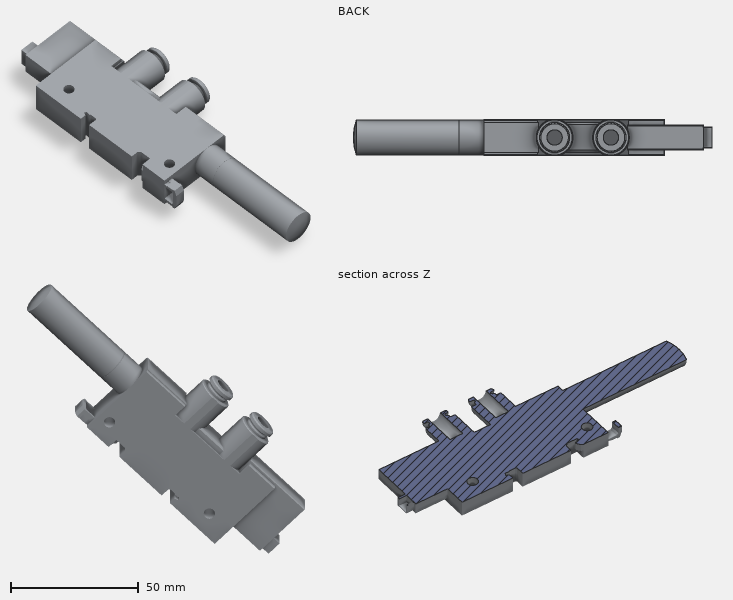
import cadquery as cq
import math


body_length = 70.7
body_depth = 33.6
body_thickness = 14.0
back_chamfer = 0.4
core_start = 49.3
core_depth = 34.0
core_thickness = 11.6

joining_overlap = 1.0

solenoid_start = -15.3
solenoid_end = 14.4
solenoid_front = 9.8
solenoid_back = 34.9
solenoid_thickness = 9.9
connector_length = 3.5
connector_front = 11.05
connector_back = 17.2
connector_thickness = 8.2
connector_wall = 0.5
connector_back_wall = 1.2

port_xs = (20.9, 43.0)
port_recess_start = 14.0
port_recess_end = 49.7
port_recess_floor = 28.0
barrel_diameter = 14.4
barrel_chamfer = 0.3
barrel_end = 43.9
overall_depth = 48.1
tube_bore_diameter = 6.0
tube_bore_depth = 15.0
collar_diameter = 10.0
collar_length = 1.4
collar_chamfer = 0.5
neck_diameter = 8.1
neck_length = 1.0
ring_diameter = 11.8
ring_chamfer = 0.5
web_depth = 31.0
web_chamfer = 0.8

silencer_y = 23.9
silencer_tip_x = 121.95
dome_height = 1.2
adapter_end = 80.4
joint_length = 0.4
joint_diameter = 13.6
silencer_diameter = 13.8

hole_diameter = 4.4
hole_xs = (10.6, 65.85)
hole_y = 7.7
slot_depth = 4.25
fixed_slot_left = 24.7
fixed_slot_right = 29.3
fixed_slot_chamfer = 0.5
undercut_tip_x = 23.4
undercut_back_x = 23.8
undercut_step_x = 25.9
undercut_lip_y = 2.6
undercut_tip_y = 3.1
undercut_back_y = 4.1
undercut_step_y = 3.9
clip_slot_left = 52.7
clip_slot_right = 58.6
clip_slot_chamfer = 1.1

latch_width = 6.4
latch_tip_x = 56.5
latch_shoulder_x = 57.8
latch_heel_y = 0.3
latch_tip_low = 2.1
latch_tip_high = 3.0
shoulder_high = 3.6
clip_width = 9.9
loop_end = 77.2
loop_corner_x = 75.0
loop_width = 10.7
loop_corner_length = 1.0
loop_corner_cut = 2.4
loop_inner_end = 75.5
loop_inner_width = 7.2
loop_inner_chamfer = 0.8
loop_notch_end = 72.0
loop_notch_height = 2.1
loop_notch_depth = 0.3


def block(x0, x1, y0, y1, thickness):
    """Box between two X and two Y limits, centred on the mid plane."""
    return (
        cq.Workplane("XY")
        .box(x1 - x0, y1 - y0, thickness, centered=(False, False, True))
        .translate((x0, y0, 0))
    )


def plate(points, thickness):
    """Prism of an XY outline, centred on the mid plane."""
    return cq.Workplane("XY").polyline(points).close().extrude(thickness / 2, both=True)


def chamfer_back(solid, size):
    """Chamfer the two long edges of a block's back (+Y) face."""
    return solid.faces(">Y").edges("|X").chamfer(size)


def make_body():
    shell = chamfer_back(block(0, body_length, 0, body_depth, body_thickness), back_chamfer)
    core = block(core_start, body_length, 0, core_depth, core_thickness)
    recess = block(port_recess_start, port_recess_end, port_recess_floor, overall_depth, body_thickness)
    web = block(*port_xs, port_recess_floor - joining_overlap, web_depth, core_thickness)
    return shell.cut(recess).union(core).union(chamfer_back(web, web_chamfer))


def make_solenoid():
    coil = block(solenoid_start, solenoid_end, solenoid_front, solenoid_back, solenoid_thickness)
    tip = solenoid_start - connector_length
    connector = block(tip, solenoid_start, connector_front, connector_back, connector_thickness)
    socket = block(
        tip,
        solenoid_start,
        connector_front + connector_wall,
        connector_back - connector_back_wall,
        connector_thickness - 2 * connector_wall,
    )
    return chamfer_back(coil, back_chamfer).union(connector.cut(socket))


def make_port(x):
    """Flatted barrel with a stepped release ring, revolved about its own Y axis."""
    barrel_radius = barrel_diameter / 2
    collar_radius = collar_diameter / 2
    neck_radius = neck_diameter / 2
    ring_radius = ring_diameter / 2
    collar_end = barrel_end + collar_length
    ring_start = collar_end + neck_length
    profile = [
        (0, port_recess_floor - joining_overlap),
        (barrel_radius, port_recess_floor - joining_overlap),
        (barrel_radius, barrel_end - barrel_chamfer),
        (barrel_radius - barrel_chamfer, barrel_end),
        (collar_radius, barrel_end),
        (collar_radius, collar_end - collar_chamfer),
        (collar_radius - collar_chamfer, collar_end),
        (neck_radius, collar_end),
        (neck_radius, ring_start),
        (ring_radius, ring_start),
        (ring_radius, overall_depth - ring_chamfer),
        (ring_radius - ring_chamfer, overall_depth),
        (0, overall_depth),
    ]
    turned = cq.Workplane("XY").polyline(profile).close().revolve(360, (0, 0, 0), (0, 1, 0))
    flats = block(-barrel_radius, barrel_radius, 0, overall_depth, body_thickness)
    return turned.intersect(flats).translate((x, 0, 0))


def make_tube_bore(x):
    return (
        cq.Workplane("XZ", origin=(x, overall_depth, 0))
        .circle(tube_bore_diameter / 2)
        .extrude(tube_bore_depth)
    )


def make_silencer():
    """Adapter, joint groove and dome-ended sleeve revolved about the silencer axis."""
    radius = silencer_diameter / 2
    dome_base = silencer_tip_x - dome_height
    dome_radius = (radius**2 + dome_height**2) / (2 * dome_height)
    half_angle = math.asin(radius / dome_radius) / 2
    dome_centre = silencer_tip_x - dome_radius
    dome_middle = (
        dome_centre + dome_radius * math.cos(half_angle),
        dome_radius * math.sin(half_angle),
    )
    profile = (
        cq.Workplane("XY")
        .moveTo(body_length - joining_overlap, 0)
        .lineTo(body_length - joining_overlap, radius)
        .lineTo(adapter_end, radius)
        .lineTo(adapter_end, joint_diameter / 2)
        .lineTo(adapter_end + joint_length, radius)
        .lineTo(dome_base, radius)
        .threePointArc(dome_middle, (silencer_tip_x, 0))
        .close()
    )
    return profile.revolve(360, (0, 0, 0), (1, 0, 0)).translate((0, silencer_y, 0))


def make_rail_slots():
    """Slot with a fixed undercut hook and slot for the sliding clip, open at the mounting face."""
    fixed = [
        (fixed_slot_left, 0),
        (fixed_slot_left, undercut_lip_y),
        (undercut_tip_x, undercut_tip_y),
        (undercut_back_x, undercut_back_y),
        (undercut_step_x, undercut_step_y),
        (undercut_step_x, slot_depth),
        (fixed_slot_right - fixed_slot_chamfer, slot_depth),
        (fixed_slot_right, slot_depth - fixed_slot_chamfer),
        (fixed_slot_right, 0),
    ]
    clip = [
        (clip_slot_left, 0),
        (clip_slot_left, slot_depth - clip_slot_chamfer),
        (clip_slot_left + clip_slot_chamfer, slot_depth),
        (clip_slot_right, slot_depth),
        (clip_slot_right, 0),
    ]
    return plate(fixed, body_thickness).union(plate(clip, body_thickness))


def make_latch():
    nose = plate(
        [
            (clip_slot_right, 0),
            (latch_shoulder_x, latch_heel_y),
            (latch_tip_x, latch_tip_low),
            (latch_tip_x, latch_tip_high),
            (clip_slot_right, latch_tip_high),
        ],
        latch_width,
    )
    shoulder = block(latch_shoulder_x, clip_slot_right, latch_tip_low, shoulder_high, clip_width)
    return nose.union(shoulder)


def make_loop():
    half_arm = clip_width / 2
    half_loop = loop_width / 2
    upper = [
        (body_length, half_arm),
        (loop_corner_x, half_arm),
        (loop_corner_x, half_loop),
        (loop_end - loop_corner_length, half_loop),
        (loop_end, half_loop - loop_corner_cut),
    ]
    lower = [(x, -z) for x, z in reversed(upper)]
    outer = cq.Workplane("XZ").polyline(upper + lower).close().extrude(-slot_depth)
    inner = block(body_length, loop_inner_end, 0, slot_depth, loop_inner_width)
    inner = inner.faces(">X").edges("|Y").chamfer(loop_inner_chamfer)
    loop = outer.cut(inner)
    for side in (1, -1):
        notch = block(body_length, loop_notch_end, 0, loop_notch_height, 2 * loop_notch_depth)
        loop = loop.cut(notch.translate((0, 0, side * half_arm)))
    return loop


valve = make_body().union(make_solenoid()).union(make_silencer())
for port_x in port_xs:
    valve = valve.union(make_port(port_x))
for port_x in port_xs:
    valve = valve.cut(make_tube_bore(port_x))
valve = valve.cut(make_rail_slots())
for hole_x in hole_xs:
    hole = cq.Workplane("XY").center(hole_x, hole_y).circle(hole_diameter / 2)
    valve = valve.cut(hole.extrude(body_thickness, both=True))
result = valve.union(make_latch()).union(make_loop())